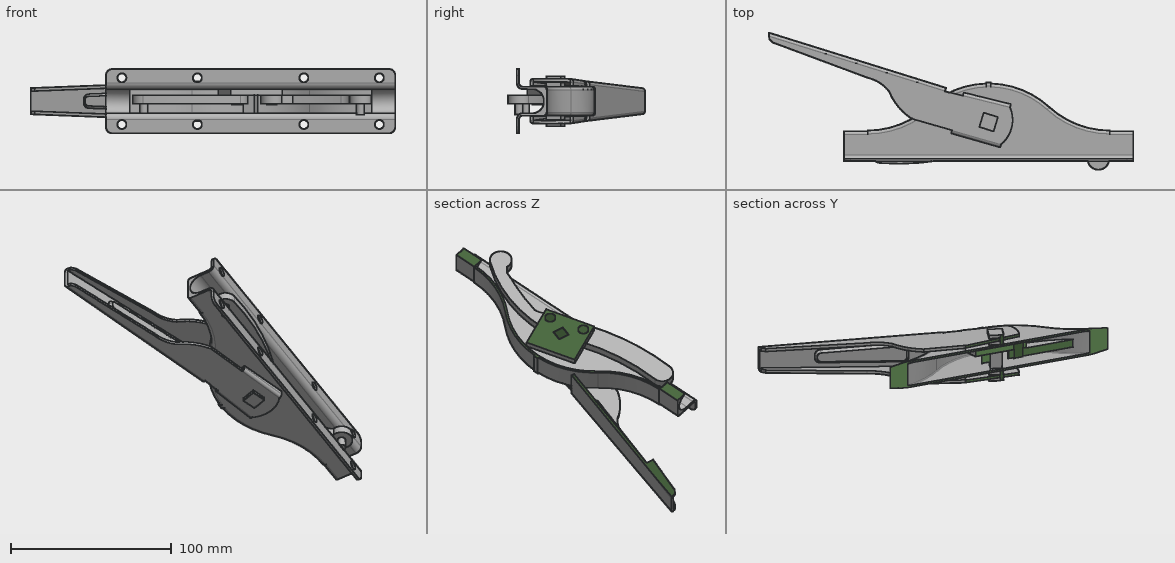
import cadquery as cq
import math


HOUSING_LENGTH = 180.0
HOUSING_WIDTH = 18.1
WALL = 1.5
END_DEPTH = 18.5
HUMP_START_DEPTH = 19.0
HUMP_DEPTH = 48.3
HUMP_HALF_LENGTH = 75.2
EDGE_ROUND = 2.0
FLANGE_SPAN = 40.0
BEND_INNER_RADIUS = 2.3
FLANGE_CORNER_RADIUS = 4.0
SCREW_HOLE_DIAMETER = 5.5
SCREW_HOLE_X = (33.0, 80.0)
SCREW_HOLE_Z = 14.5
CREST_PAD_LENGTH = 3.0
CREST_PAD_RISE = 0.7

PIVOT_Y = 24.2
LEVER_ANGLE = 17.3
LEVER_SHEET = 2.0
LEVER_TIP = 147.0
LEVER_TIP_HALF_WIDTH = 8.2
LEVER_TIP_CHAMFER_X = 1.5
LEVER_TIP_CHAMFER_Y = 8.5
LEVER_END_HALF_WIDTH = 14.0
END_ARC_POINT = (14.0, 5.0)
WEB_TOP = 12.5
WEB_END = 31.5
LIP_START = 20.2
UPPER_LIP_END = 10.0
LOWER_LIP_END = 11.5
LIP_ROUND = 1.93
LIP_GAP = 0.2
UPPER_ARM_START_Y = 10.2
UPPER_ARM_END_Y = 12.7
LOWER_ARM_START = 46.5
LOWER_ARM_START_Y = -12.2
LOWER_ARM_END_Y = -10.9
SHOULDER_LOW_POINT = (-58.0, -6.5)
SHOULDER_INFLECTION = (-64.8, -0.2)
SHOULDER_HIGH_POINT = (-71.4, 3.0)
GRIP_START = (-80.0, 3.9)
GRIP_END = (-142.7, 7.3)
RIB_TIP = 112.0
RIB_ROOT = 53.0
RIB_TIP_HALF_WIDTH = 4.3
RIB_ROOT_HALF_WIDTH = 6.5
RIB_CORNER_RADIUS = 3.6
RIB_HEIGHT = 1.8
RIB_DRAFT = 40

SHAFT_SIDE = 7.3
SHAFT_HEAD_SIDE = 9.3
SHAFT_HALF_LENGTH = 15.6

CRANK_ANGLE = 15.5
CRANK_HALF_LENGTH = 16.5
CRANK_BELOW = 13.8
CRANK_ABOVE = 15.6
CRANK_PIN_X = 11.3
CRANK_PIN_Y = -8.5
CRANK_PIN_DIAMETER = 6.1
CRANK_PIN_TAIL = 0.5

BAR_BOTTOM_Z = -1.7
BAR_TOP_Z = 3.74
EYE_RADIUS = 6.8
LEFT_END = (-66.4, 5.5)
RIGHT_END = (68.2, 1.4)
LEFT_BAR_SAG = 3.0
RIGHT_BAR_CREST_POINT = (45.3, 21.0)
RIGHT_BAR_NECK_POINTS = ((61.6, 3.2), (59.8, 5.7), (56.0, 7.7))
RIGHT_BAR_ARCH_POINTS = ((41.2, 13.8), (26.3, 18.4))
RIGHT_BAR_THROAT_POINTS = ((21.0, 17.0), (17.0, 13.8))
STUD_DIAMETER = 5.0
STUD_BOTTOM_Z = -8.4

INNER_HALF_WIDTH = HOUSING_WIDTH / 2 - WALL
BEYOND = 226.5


def prism(outline, z_low, z_high):
    """Extrude a closed XY outline between two heights."""
    return outline.extrude(z_high - z_low).translate((0, 0, z_low))


def square_bar(side, half_length):
    """Square bar on the pivot axis, turned with the lever."""
    bar = cq.Workplane("XY").rect(side, side).extrude(half_length, both=True)
    return place_on_pivot(bar, -LEVER_ANGLE)


def place_on_pivot(body, angle):
    """Turn a body built about the origin and move it onto the pivot axis."""
    return body.rotate((0, 0, 0), (0, 0, 1), angle).translate((0, PIVOT_Y, 0))


def round_pin(center, diameter, z_low, z_high):
    return prism(cq.Workplane("XY").center(*center).circle(diameter / 2), z_low, z_high)


def crank_pin_center(side):
    """Place of a crank pin after the crank is turned; side is -1 or 1."""
    angle = math.radians(CRANK_ANGLE)
    local_x = side * CRANK_PIN_X
    x = local_x * math.cos(angle) - CRANK_PIN_Y * math.sin(angle)
    y = local_x * math.sin(angle) + CRANK_PIN_Y * math.cos(angle)
    return x, PIVOT_Y + y


def hump_outline(inset):
    """Bell outline of two equal pairs of tangent arcs, moved inward by inset."""
    half_run = HUMP_HALF_LENGTH / 2
    half_rise = (HUMP_DEPTH - HUMP_START_DEPTH) / 2
    radius = (half_run**2 + half_rise**2) / (2 * half_rise)
    sweep = 2 * math.atan2(half_rise, half_run)
    crest_radius = radius - inset
    foot_radius = radius + inset
    crest_y = HUMP_DEPTH - radius
    foot_y = HUMP_START_DEPTH + radius

    def crest(angle):
        return crest_radius * math.sin(angle), crest_y + crest_radius * math.cos(angle)

    def foot(angle):
        return HUMP_HALF_LENGTH - foot_radius * math.sin(angle), foot_y - foot_radius * math.cos(angle)

    def mirrored(point):
        return -point[0], point[1]

    return (
        cq.Workplane("XY")
        .moveTo(-HUMP_HALF_LENGTH, 0)
        .lineTo(*mirrored(foot(0)))
        .threePointArc(mirrored(foot(sweep / 2)), mirrored(foot(sweep)))
        .threePointArc(crest(0), crest(sweep))
        .threePointArc(foot(sweep / 2), foot(0))
        .lineTo(HUMP_HALF_LENGTH, 0)
        .close()
    )


def flange_profile(side):
    """YZ outline of one mounting flange with its bend and the start of the wall."""
    wall_outer = HOUSING_WIDTH / 2
    wall_inner = INNER_HALF_WIDTH
    bend_z = wall_outer + BEND_INNER_RADIUS
    bend_y = WALL + BEND_INNER_RADIUS
    outer_radius = BEND_INNER_RADIUS + WALL
    diagonal = math.sqrt(0.5)
    return (
        cq.Workplane("YZ")
        .moveTo(0, side * FLANGE_SPAN / 2)
        .lineTo(0, side * bend_z)
        .threePointArc(
            (bend_y - outer_radius * diagonal, side * (bend_z - outer_radius * diagonal)),
            (bend_y, side * wall_inner),
        )
        .lineTo(bend_y, side * wall_outer)
        .threePointArc(
            (bend_y - BEND_INNER_RADIUS * diagonal, side * (bend_z - BEND_INNER_RADIUS * diagonal)),
            (WALL, side * bend_z),
        )
        .lineTo(WALL, side * FLANGE_SPAN / 2)
        .close()
    )


def make_flanges():
    blank = (
        cq.Workplane("XZ")
        .rect(HOUSING_LENGTH, FLANGE_SPAN)
        .extrude(-HUMP_DEPTH)
        .edges("|Y")
        .fillet(FLANGE_CORNER_RADIUS)
    )
    flanges = cq.Workplane("XY")
    for side in (-1, 1):
        flanges = flanges.add(flange_profile(side).extrude(HOUSING_LENGTH / 2, both=True))
    hole_rows = [-SCREW_HOLE_Z, SCREW_HOLE_Z]
    hole_columns = [side * x for x in SCREW_HOLE_X for side in (-1, 1)]
    holes = (
        cq.Workplane("XZ")
        .pushPoints([(x, z) for x in hole_columns for z in hole_rows])
        .circle(SCREW_HOLE_DIAMETER / 2)
        .extrude(-WALL)
    )
    return flanges.combine().intersect(blank).cut(holes)


def make_shell():
    """Bell-shaped channel with a round-bottomed trough at each end."""
    half_width = HOUSING_WIDTH / 2
    end_length = HOUSING_LENGTH / 2 - HUMP_HALF_LENGTH
    end_center = HUMP_HALF_LENGTH + end_length / 2
    shell = prism(hump_outline(0), -half_width, half_width)
    shell = shell.faces("not(|X or |Z or <Y)").edges("<Z or >Z").fillet(EDGE_ROUND)
    pad = (
        cq.Workplane("XY")
        .box(CREST_PAD_LENGTH, HUMP_DEPTH / 2, HOUSING_WIDTH)
        .edges("|X and >Y")
        .fillet(EDGE_ROUND)
        .translate((0, HUMP_DEPTH * 3 / 4 + CREST_PAD_RISE, 0))
    )
    shell = shell.union(pad)
    for side in (-1, 1):
        end = (
            cq.Workplane("XY")
            .box(end_length, END_DEPTH, HOUSING_WIDTH)
            .edges("|X and >Y")
            .fillet(EDGE_ROUND)
            .translate((side * end_center, END_DEPTH / 2, 0))
        )
        shell = shell.union(end)

    trough_center = END_DEPTH - WALL - INNER_HALF_WIDTH
    trough = (
        cq.Workplane("YZ")
        .moveTo(0, -INNER_HALF_WIDTH)
        .lineTo(trough_center, -INNER_HALF_WIDTH)
        .threePointArc((END_DEPTH - WALL, 0), (trough_center, INNER_HALF_WIDTH))
        .lineTo(0, INNER_HALF_WIDTH)
        .close()
        .extrude(HOUSING_LENGTH / 2, both=True)
    )
    cavity = prism(hump_outline(WALL), -INNER_HALF_WIDTH, INNER_HALF_WIDTH)
    cavity = cavity.faces("not(|X or |Z or <Y)").edges("<Z or >Z").fillet(EDGE_ROUND - WALL)
    bend_room = cq.Workplane("XY").box(HOUSING_LENGTH, 2 * (WALL + BEND_INNER_RADIUS), HOUSING_WIDTH)
    return shell.cut(trough).cut(cavity).cut(bend_room)


def make_housing():
    housing = make_shell().union(make_flanges())
    housing = housing.cut(square_bar(SHAFT_SIDE, HOUSING_WIDTH))
    for end in (LEFT_END, RIGHT_END):
        housing = housing.cut(round_pin(end, STUD_DIAMETER, STUD_BOTTOM_Z, 0))
    return housing


def lever_wedge(inset):
    """Block bounded by the splayed arm sides, moved inward by inset; it narrows toward the tip."""
    length = LEVER_TIP + END_ARC_POINT[0]
    splay = (LEVER_END_HALF_WIDTH - LEVER_TIP_HALF_WIDTH) / length
    tip_x = -LEVER_TIP - LEVER_SHEET
    end_x = END_ARC_POINT[0] + LEVER_SHEET
    tip_z = LEVER_TIP_HALF_WIDTH - splay * LEVER_SHEET - inset
    end_z = LEVER_END_HALF_WIDTH + splay * LEVER_SHEET - inset
    return (
        cq.Workplane("XZ")
        .polyline([(tip_x, -tip_z), (end_x, -end_z), (end_x, end_z), (tip_x, tip_z)])
        .close()
        .extrude(BEYOND, both=True)
    )


def point_along(start, end, x):
    """Point at x on the straight line through start and end."""
    share = (x - start[0]) / (end[0] - start[0])
    return x, start[1] + share * (end[1] - start[1])


def raised(point, amount):
    return point[0], point[1] + amount


UPPER_ARM_START = (-WEB_END, UPPER_ARM_START_Y)
UPPER_ARM_END = (UPPER_LIP_END, UPPER_ARM_END_Y)
LOWER_ARM_CORNER = (-LOWER_ARM_START, LOWER_ARM_START_Y)
LOWER_ARM_END = (LOWER_LIP_END, LOWER_ARM_END_Y)


def lever_outline():
    """Side outline of the lever, with the lips standing out beyond the arm edges."""
    upper_lip = point_along(UPPER_ARM_START, UPPER_ARM_END, -LIP_START)
    lower_lip = point_along(LOWER_ARM_CORNER, LOWER_ARM_END, -LIP_START)
    return (
        cq.Workplane("XY")
        .moveTo(-LEVER_TIP, WEB_TOP)
        .lineTo(-WEB_END, WEB_TOP)
        .lineTo(*UPPER_ARM_START)
        .lineTo(*upper_lip)
        .lineTo(*raised(upper_lip, LEVER_SHEET))
        .lineTo(*raised(UPPER_ARM_END, LEVER_SHEET))
        .lineTo(*UPPER_ARM_END)
        .threePointArc(END_ARC_POINT, LOWER_ARM_END)
        .lineTo(*raised(LOWER_ARM_END, -LEVER_SHEET))
        .lineTo(*raised(lower_lip, -LEVER_SHEET))
        .lineTo(*lower_lip)
        .lineTo(*LOWER_ARM_CORNER)
        .threePointArc(SHOULDER_LOW_POINT, SHOULDER_INFLECTION)
        .threePointArc(SHOULDER_HIGH_POINT, GRIP_START)
        .lineTo(*GRIP_END)
        .lineTo(LEVER_TIP_CHAMFER_X - LEVER_TIP, LEVER_TIP_CHAMFER_Y)
        .close()
    )


def round_edges_near(body, point, radius):
    """Round the long edges, on both sides of the lever, whose middles lie near an XY point."""
    x, y = point
    near = cq.selectors.BoxSelector(
        (x - LEVER_SHEET, y - LEVER_SHEET / 2, -BEYOND),
        (x + LEVER_SHEET, y + LEVER_SHEET / 2, BEYOND),
    )
    return body.edges(near).fillet(radius)


def make_lever_blank():
    """Solid lever with the bends of the web and of the lips rounded."""
    blank = prism(lever_outline(), -BEYOND, BEYOND).intersect(lever_wedge(0))
    web_middle = (-(LEVER_TIP + WEB_END) / 2, WEB_TOP)
    upper_middle = point_along(UPPER_ARM_START, UPPER_ARM_END, (UPPER_LIP_END - LIP_START) / 2)
    lower_middle = point_along(LOWER_ARM_CORNER, LOWER_ARM_END, (LOWER_LIP_END - LIP_START) / 2)
    blank = round_edges_near(blank, web_middle, EDGE_ROUND)
    blank = round_edges_near(blank, raised(upper_middle, LEVER_SHEET), LIP_ROUND)
    return round_edges_near(blank, raised(lower_middle, -LEVER_SHEET), LIP_ROUND)


def lever_hollow():
    """Room between the arms, under the web and within the lips."""
    outline = cq.Workplane("XY").polyline(
        [
            (-BEYOND, WEB_TOP - LEVER_SHEET),
            (-WEB_END, WEB_TOP - LEVER_SHEET),
            UPPER_ARM_START,
            UPPER_ARM_END,
            (BEYOND, UPPER_ARM_END_Y),
            (BEYOND, LOWER_ARM_END_Y),
            LOWER_ARM_END,
            LOWER_ARM_CORNER,
            (-BEYOND, LOWER_ARM_START_Y),
        ]
    )
    return prism(outline.close(), -BEYOND, BEYOND).intersect(lever_wedge(LEVER_SHEET))


def make_rib():
    """Tapered stiffening rib with sloping sides on the underside of the web."""
    corners = [
        (-RIB_TIP, -RIB_TIP_HALF_WIDTH),
        (-RIB_ROOT, -RIB_ROOT_HALF_WIDTH),
        (-RIB_ROOT, RIB_ROOT_HALF_WIDTH),
        (-RIB_TIP, RIB_TIP_HALF_WIDTH),
    ]
    outline = cq.Sketch().polygon([*corners, corners[0]]).vertices().fillet(RIB_CORNER_RADIUS)
    return (
        cq.Workplane("XZ", origin=(0, WEB_TOP - LEVER_SHEET, 0))
        .placeSketch(outline)
        .extrude(RIB_HEIGHT, taper=RIB_DRAFT)
    )


def make_lever():
    housing_gap = cq.Workplane("XY").box(2 * WEB_END, BEYOND, HOUSING_WIDTH + 2 * LIP_GAP)
    lever = make_lever_blank().cut(lever_hollow()).cut(housing_gap).union(make_rib())
    return place_on_pivot(lever, -LEVER_ANGLE).cut(square_bar(SHAFT_HEAD_SIDE, BEYOND))


def make_shaft():
    heads = square_bar(SHAFT_HEAD_SIDE, SHAFT_HALF_LENGTH)
    heads = heads.cut(cq.Workplane("XY").box(BEYOND, BEYOND, HOUSING_WIDTH))
    return heads.union(square_bar(SHAFT_SIDE, HOUSING_WIDTH / 2))


def make_crank_pin(side):
    tail_z = BAR_BOTTOM_Z - CRANK_PIN_TAIL
    return round_pin(crank_pin_center(side), CRANK_PIN_DIAMETER, tail_z, INNER_HALF_WIDTH)


def make_crank():
    height = CRANK_ABOVE + CRANK_BELOW
    plate = cq.Workplane("XY").center(0, (CRANK_ABOVE - CRANK_BELOW) / 2).rect(2 * CRANK_HALF_LENGTH, height)
    crank = place_on_pivot(prism(plate, BAR_TOP_Z, INNER_HALF_WIDTH), CRANK_ANGLE)
    crank = crank.cut(square_bar(SHAFT_SIDE, HOUSING_WIDTH))
    for side in (-1, 1):
        crank = crank.cut(make_crank_pin(side))
    return crank


def finish_bar(strip, side, end):
    """Add the eye, the round end and the stud to a bar strip, and bore it for its crank pin."""
    eye = crank_pin_center(side)
    bar = prism(strip, BAR_BOTTOM_Z, BAR_TOP_Z)
    for center in (eye, end):
        bar = bar.union(round_pin(center, 2 * EYE_RADIUS, BAR_BOTTOM_Z, BAR_TOP_Z))
    bar = bar.union(round_pin(end, STUD_DIAMETER, STUD_BOTTOM_Z, BAR_BOTTOM_Z))
    return bar.cut(make_crank_pin(side))


def make_left_bar():
    """Bar of even width along an arc that sags below the line between its two centers."""
    eye = crank_pin_center(-1)
    run = eye[0] - LEFT_END[0]
    rise = eye[1] - LEFT_END[1]
    chord = math.hypot(run, rise)
    radius = ((chord / 2) ** 2 + LEFT_BAR_SAG**2) / (2 * LEFT_BAR_SAG)
    tilt = math.atan2(rise, run)
    half_sweep = math.asin(chord / 2 / radius)
    center_x = (eye[0] + LEFT_END[0]) / 2 - (radius - LEFT_BAR_SAG) * math.sin(tilt)
    center_y = (eye[1] + LEFT_END[1]) / 2 + (radius - LEFT_BAR_SAG) * math.cos(tilt)

    def on_arc(sweep, offset):
        angle = tilt + sweep
        reach = radius + offset
        return center_x + reach * math.sin(angle), center_y - reach * math.cos(angle)

    strip = (
        cq.Workplane("XY")
        .moveTo(*on_arc(-half_sweep, EYE_RADIUS))
        .threePointArc(on_arc(0, EYE_RADIUS), on_arc(half_sweep, EYE_RADIUS))
        .lineTo(*on_arc(half_sweep, -EYE_RADIUS))
        .threePointArc(on_arc(0, -EYE_RADIUS), on_arc(-half_sweep, -EYE_RADIUS))
        .close()
    )
    return finish_bar(strip, -1, LEFT_END)


def make_right_bar():
    """Arched bar that rises from its eye and drops steeply to its end."""
    eye_x, eye_y = crank_pin_center(1)
    end_x, end_y = RIGHT_END
    shoulder = EYE_RADIUS * math.sqrt(0.5)
    neck_start, neck_middle, neck_end = RIGHT_BAR_NECK_POINTS
    strip = (
        cq.Workplane("XY")
        .moveTo(eye_x, eye_y + EYE_RADIUS)
        .threePointArc(RIGHT_BAR_CREST_POINT, (end_x + shoulder, end_y + shoulder))
        .lineTo(end_x, end_y)
        .lineTo(*neck_start)
        .threePointArc(neck_middle, neck_end)
        .threePointArc(*RIGHT_BAR_ARCH_POINTS)
        .threePointArc(*RIGHT_BAR_THROAT_POINTS)
        .lineTo(eye_x, eye_y)
        .close()
    )
    return finish_bar(strip, 1, RIGHT_END)


housing = make_housing()
lever = make_lever()
shaft = make_shaft()
crank = make_crank()
crank_pins = [make_crank_pin(side) for side in (-1, 1)]
left_bar = make_left_bar()
right_bar = make_right_bar()

result = cq.Compound.makeCompound(
    [
        housing.val(),
        lever.val(),
        shaft.val(),
        crank.val(),
        *[pin.val() for pin in crank_pins],
        left_bar.val(),
        right_bar.val(),
    ]
)